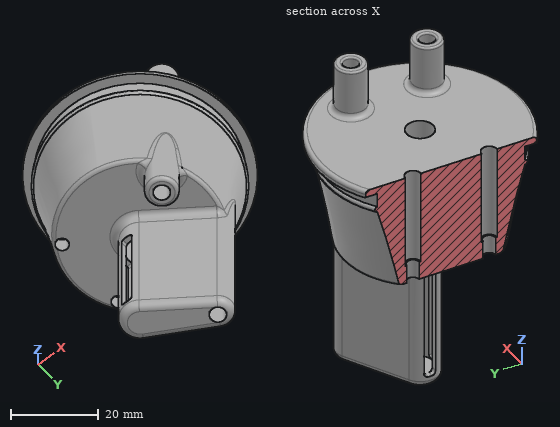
import cadquery as cq
import math

TOTAL_HEIGHT = 83.0
FLANGE_TOP = 70.0
FLANGE_THICKNESS = 2.0
FLANGE_BOTTOM = FLANGE_TOP - FLANGE_THICKNESS
BEAD_TOP = 64.4
BEAD_BOTTOM = 62.8
BODY_BOTTOM = 39.9
INLET_BOTTOM = 30.0

FLANGE_RADIUS = 54.0 / 2
FLANGE_FILLET = 1.0
NECK_RADIUS = 49.0 / 2
BEAD_PROTRUSION = 0.5
BODY_BOTTOM_RADIUS = 20.25
BODY_BOTTOM_FILLET = 1.0
FLANK_SAG = 0.25

PORT_X = 15.0
PORT_Y = 10.0
INLET = (PORT_X, -PORT_Y)
OUTLET = (PORT_X, PORT_Y)

TUBE_RADIUS = 8.0 / 2
TUBE_BORE = 4.0
TUBE_RIM_FILLET = 0.5
TUBE_BASE_FILLET = 1.4
INLET_TIP_FILLET = 1.0

SHEATH_RADIUS = 5.0
STEM_TIP_FILLET = 2.0
ROOT_FILLET = 2.0

PROBE_BORE = 7.0
PROBE_BORE_BOTTOM = 3.0
SLOT_WIDTH = 3.0
SLOT_BOTTOM = PROBE_BORE_BOTTOM
SLOT_TOP = 32.9
SLOT_BOTTOM_FILLET = 1.0
SLOT_TOP_FILLET = 0.5

PIN_BORE = 4.0
PIN_TIP_BORE = 3.2
PIN_TIP_LENGTH = 5.0

TOLERANCE = 0.01


def cylinder(center, diameter, bottom, top):
    """Upright cylinder between two heights."""
    return (
        cq.Workplane("XY", origin=(*center, bottom))
        .circle(diameter / 2)
        .extrude(top - bottom)
    )


def make_body():
    """Tapered stopper with a flange, a straight neck and a rounded bead."""
    bead_middle = (BEAD_TOP + BEAD_BOTTOM) / 2
    body = (
        cq.Workplane("XZ")
        .moveTo(0, BODY_BOTTOM)
        .lineTo(BODY_BOTTOM_RADIUS, BODY_BOTTOM)
        .sagittaArc((NECK_RADIUS, BEAD_BOTTOM), FLANK_SAG)
        .threePointArc((NECK_RADIUS + BEAD_PROTRUSION, bead_middle), (NECK_RADIUS, BEAD_TOP))
        .lineTo(NECK_RADIUS, FLANGE_BOTTOM)
        .lineTo(FLANGE_RADIUS, FLANGE_BOTTOM)
        .lineTo(FLANGE_RADIUS, FLANGE_TOP)
        .lineTo(0, FLANGE_TOP)
        .close()
        .revolve(360, (0, 0, 0), (0, 1, 0))
    )
    body = body.faces(">Z").edges().fillet(FLANGE_FILLET)
    return body.faces("<Z").edges().fillet(BODY_BOTTOM_FILLET)


def make_stem():
    """Upright bar whose outline wraps the probe sheath and the outlet tube."""
    distance = math.hypot(*OUTLET)
    heading = math.atan2(OUTLET[1], OUTLET[0])
    spread = math.acos((SHEATH_RADIUS - TUBE_RADIUS) / distance)

    def on_sheath(angle):
        return (SHEATH_RADIUS * math.cos(angle), SHEATH_RADIUS * math.sin(angle))

    def on_tube(angle):
        return (
            OUTLET[0] + TUBE_RADIUS * math.cos(angle),
            OUTLET[1] + TUBE_RADIUS * math.sin(angle),
        )

    stem = (
        cq.Workplane("XY")
        .moveTo(*on_sheath(heading - spread))
        .lineTo(*on_tube(heading - spread))
        .threePointArc(on_tube(heading), on_tube(heading + spread))
        .lineTo(*on_sheath(heading + spread))
        .threePointArc(on_sheath(heading + math.pi), on_sheath(heading - spread))
        .close()
        .extrude(FLANGE_BOTTOM)
    )
    return stem.faces("<Z").edges().fillet(STEM_TIP_FILLET)


def make_lower_inlet():
    """Inlet tube below the flange."""
    tube = cylinder(INLET, 2 * TUBE_RADIUS, INLET_BOTTOM, FLANGE_BOTTOM)
    return tube.faces("<Z").edges().fillet(INLET_TIP_FILLET)


def make_slots():
    """Slots with rounded corners that open the probe bore towards -X and -Y."""
    slot = (
        cq.Workplane("YZ", origin=(0, 0, (SLOT_TOP + SLOT_BOTTOM) / 2))
        .rect(SLOT_WIDTH, SLOT_TOP - SLOT_BOTTOM)
        .extrude(-SHEATH_RADIUS)
    )
    slot = slot.faces("<Z").edges("|X").fillet(SLOT_BOTTOM_FILLET)
    slot = slot.faces(">Z").edges("|X").fillet(SLOT_TOP_FILLET)
    return slot.union(slot.rotate((0, 0, 0), (0, 0, 1), 90))


def is_root_edge(edge):
    """True where the stem or the inlet tube meets the outside of the body."""
    box = edge.BoundingBox()
    on_body_skin = BODY_BOTTOM - TOLERANCE < box.zmin and box.zmax < BEAD_BOTTOM - TOLERANCE
    around_body = edge.geomType() == "CIRCLE" and edge.radius() > BODY_BOTTOM_RADIUS - BODY_BOTTOM_FILLET
    return on_body_skin and not around_body


def add_upper_tube(part, center):
    """Add a hose tube on top of the flange and blend its base and rim."""
    part = part.union(cylinder(center, 2 * TUBE_RADIUS, FLANGE_TOP, TOTAL_HEIGHT))
    reach = TUBE_RADIUS + TOLERANCE
    base_circle = cq.selectors.BoxSelector(
        (center[0] - reach, center[1] - reach, FLANGE_TOP - TOLERANCE),
        (center[0] + reach, center[1] + reach, FLANGE_TOP + TOLERANCE),
        boundingbox=True,
    )
    return part.edges(base_circle).fillet(TUBE_BASE_FILLET)


result = make_body().union(make_stem()).union(make_lower_inlet())
root_edges = [edge for edge in result.edges().vals() if is_root_edge(edge)]
result = result.newObject(root_edges).fillet(ROOT_FILLET)

for port, bottom in ((INLET, INLET_BOTTOM), (OUTLET, 0)):
    result = add_upper_tube(result, port)
    result = result.cut(cylinder(port, TUBE_BORE, bottom, TOTAL_HEIGHT))
result = result.faces(">Z").edges().fillet(TUBE_RIM_FILLET)

result = result.cut(cylinder((0, 0), PROBE_BORE, PROBE_BORE_BOTTOM, FLANGE_TOP))
result = result.cut(make_slots())

for pin in ((-PORT_X, -PORT_Y), (-PORT_X, PORT_Y)):
    result = result.cut(cylinder(pin, PIN_TIP_BORE, BODY_BOTTOM, FLANGE_TOP))
    result = result.cut(cylinder(pin, PIN_BORE, BODY_BOTTOM + PIN_TIP_LENGTH, FLANGE_TOP))